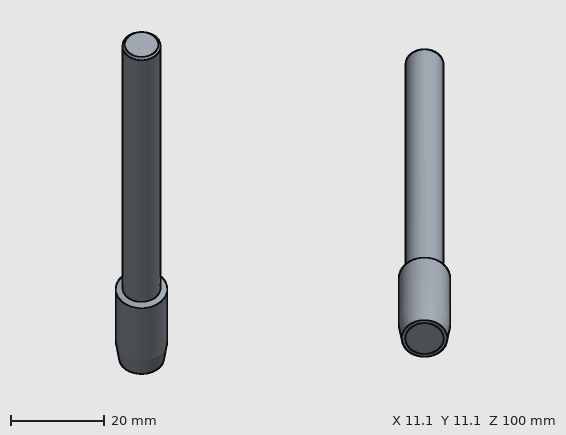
import cadquery as cq

total_length = 100.0

sleeve_diameter = 11.1
sleeve_length = 22.2
sleeve_tip_diameter = 9.8
taper_length = 5.0
sleeve_top_slope_height = 0.4

rod_diameter = 8.2
rod_top_chamfer = 0.5


def make_rod():
    """Round rod along Z with a chamfered upper end."""
    rod = cq.Workplane("XY").circle(rod_diameter / 2).extrude(total_length)
    return rod.faces(">Z").chamfer(rod_top_chamfer)


def make_sleeve():
    """Revolved sleeve with a bore that fits the rod and a top that slopes up to it."""
    bore_radius = rod_diameter / 2
    outer_radius = sleeve_diameter / 2
    return (
        cq.Workplane("XZ")
        .moveTo(bore_radius, 0)
        .lineTo(sleeve_tip_diameter / 2, 0)
        .lineTo(outer_radius, taper_length)
        .lineTo(outer_radius, sleeve_length - sleeve_top_slope_height)
        .lineTo(bore_radius, sleeve_length)
        .close()
        .revolve(360, (0, 0, 0), (0, 1, 0))
    )


rod = make_rod()
sleeve = make_sleeve()

result = cq.Compound.makeCompound([rod.val(), sleeve.val()])